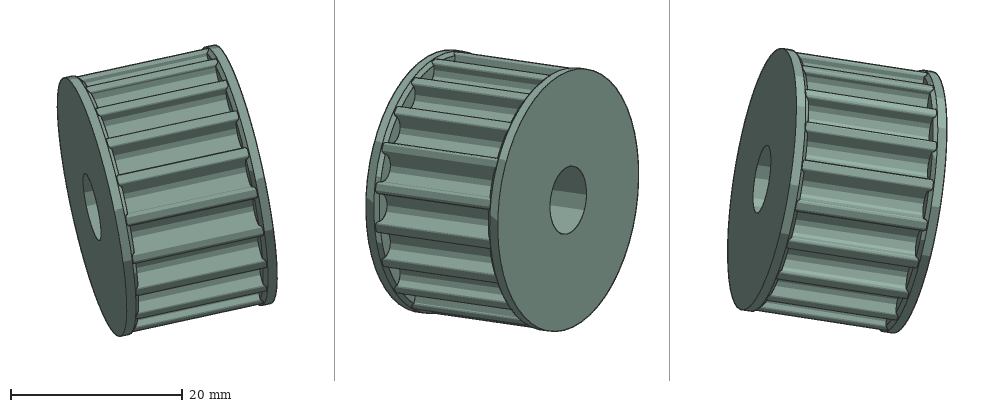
import cadquery as cq
import math


total_width = 18.2
flange_diameter = 30.9
flange_thickness = 1.1
tip_diameter = 30.7
bore_diameter = 8.0
groove_count = 20
groove_radius = 1.65
groove_depth = 2.07
tip_rounding = 0.4
flange_chamfer = 0.45
core_overlap = 0.93

flange_radius = flange_diameter / 2
tip_radius = tip_diameter / 2
bore_radius = bore_diameter / 2
root_radius = tip_radius - groove_depth
core_radius = root_radius - core_overlap
half_width = total_width / 2
half_toothed_width = half_width - flange_thickness
half_groove_length = half_toothed_width - flange_chamfer
groove_center = root_radius + groove_radius
pitch_angle = 2 * math.pi / groove_count

rounding_orbit = tip_radius - tip_rounding
center_gap = groove_radius + tip_rounding
rounding_z = (rounding_orbit**2 + groove_center**2 - center_gap**2) / (2 * groove_center)
rounding_x = math.sqrt(rounding_orbit**2 - rounding_z**2)
land_angle = math.atan2(rounding_x, rounding_z)

groove_end_x = rounding_x * groove_radius / center_gap
groove_end_z = groove_center + (rounding_z - groove_center) * groove_radius / center_gap
groove_end_angle = math.atan2(groove_end_x - rounding_x, groove_end_z - rounding_z)


def polar_point(radius, angle):
    """Point at an angle measured from +Z towards +X."""
    return (radius * math.sin(angle), radius * math.cos(angle))


def turned(point, angle):
    """Point turned about the pulley axis from +Z towards +X."""
    x, z = point
    return (
        x * math.cos(angle) + z * math.sin(angle),
        z * math.cos(angle) - x * math.sin(angle),
    )


def rounding_middle(side):
    """Middle of the tip rounding arc on one side (-1 or 1) of a groove at +Z."""
    offset_x, offset_z = polar_point(tip_rounding, (groove_end_angle + land_angle) / 2)
    return (side * (rounding_x + offset_x), rounding_z + offset_z)


def toothed_drum():
    """Drum with round-bottomed grooves between rounded teeth; one groove is at +Z."""
    groove_start = (-groove_end_x, groove_end_z)
    groove_bottom = (0, root_radius)
    groove_end = (groove_end_x, groove_end_z)
    land_start = polar_point(tip_radius, land_angle)
    land_middle = polar_point(tip_radius, pitch_angle / 2)
    land_end = polar_point(tip_radius, pitch_angle - land_angle)
    pitch_arcs = [
        (rounding_middle(-1), groove_start),
        (groove_bottom, groove_end),
        (rounding_middle(1), land_start),
        (land_middle, land_end),
    ]
    outline = cq.Workplane("XZ").moveTo(*polar_point(tip_radius, -land_angle))
    for index in range(groove_count):
        angle = index * pitch_angle
        for middle, end in pitch_arcs:
            outline = outline.threePointArc(turned(middle, angle), turned(end, angle))
    return outline.close().extrude(half_toothed_width, both=True)


def flanged_spool():
    """Core with both flanges, whose inner faces slope down to the ends of the grooves."""
    half_profile = [
        (half_width, flange_radius),
        (half_toothed_width, flange_radius),
        (half_groove_length, flange_radius - flange_chamfer),
        (half_groove_length, core_radius),
    ]
    mirrored_profile = [(-y, radius) for y, radius in reversed(half_profile)]
    profile = [(half_width, 0), *half_profile, *mirrored_profile, (-half_width, 0)]
    return cq.Workplane("YZ").polyline(profile).close().revolve(360, (0, 0), (1, 0))


bore = cq.Workplane("XZ").circle(bore_radius).extrude(half_width, both=True)
result = flanged_spool().union(toothed_drum()).cut(bore)